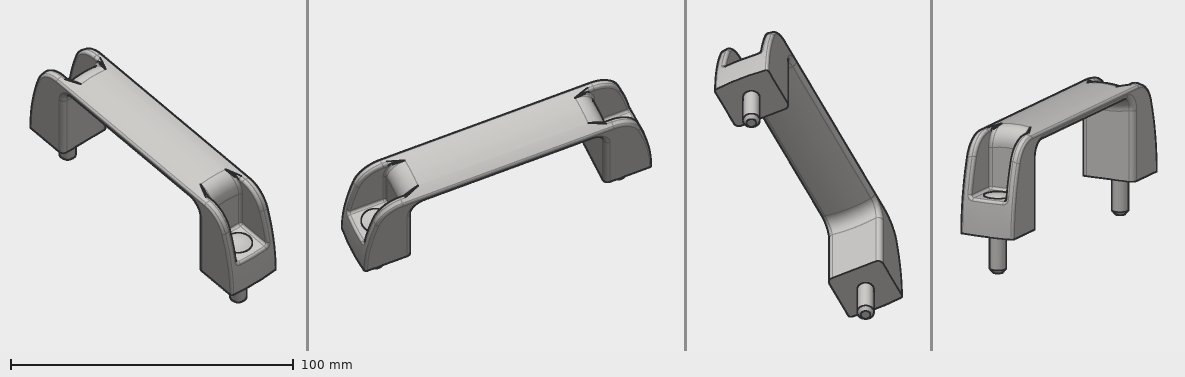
import cadquery as cq
import math

length = 112.0
width = 21.0
height = 36.0
half_length = length / 2
half_width = width / 2

bar_thickness = 5.95
crown_radius = 35.5
bar_under_z = height - bar_thickness
top_crown_axis_z = height - crown_radius
under_crown_axis_z = bar_under_z + crown_radius

leg_inner_x = 37.1
leg_face_radius = 85.0
outer_corner_radius = 11.0
inner_corner_radius = 5.0
outer_edge_fillet = 1.0
inner_edge_fillet = 2.0

pocket_half_width = 6.9
pocket_floor_z = 13.2
pocket_end_x = 39.8
pocket_lip_radius = 7.0
pocket_inner_fillet = 1.0
pocket_rim_fillet = 1.1

rim_split_x = 38.7
lip_end_x = pocket_end_x - pocket_lip_radius
runout_end_y = 5.75
runout_end_radius = 0.1

screw_spacing = 93.5
screw_radius = 3.0
screw_length = 15.0
tip_length = 1.5
tip_radius = 1.7
head_radius = 5.0
head_rise = 1.0

reach = 2 * length

tolerance = 0.05


def block(x_min, x_max, y_size, z_min, z_max):
    """Block spanning the given X and Z limits, centred on Y."""
    size = (x_max - x_min, y_size, z_max - z_min)
    return cq.Workplane("XY", origin=(x_min, 0, z_min)).box(*size, centered=(False, True, False))


def crown_cylinder(axis_z):
    """Cylinder lying along X that crowns a face of the bar."""
    section = cq.Workplane("YZ", origin=(-reach / 2, 0, 0)).center(0, axis_z).circle(crown_radius)
    return section.extrude(reach)


def near(value, target):
    return abs(value - target) < tolerance


def at_x(bounds, x):
    """True for an edge lying in the plane at the given X."""
    return near(bounds.xmin, x) and near(bounds.xmax, x)


def at_side(bounds, y):
    """True for an edge lying in the plane at +y or -y."""
    return near(bounds.ymin, bounds.ymax) and near(abs(bounds.ymin), y)


def spans(bounds, half_span):
    """True for an edge crossing the width from -half_span to +half_span."""
    return near(bounds.ymin, -half_span) and near(bounds.ymax, half_span)


def fillet_where(body, radius, test):
    """Fillet every edge whose bounding box passes the test."""
    edges = [edge for edge in body.edges().vals() if test(edge.BoundingBox())]
    return body.newObject(edges).fillet(radius)


def make_blank():
    """The x < 0 half of the handle with sharp edges: crowned bar and one leg."""
    blank = block(-half_length, 0, width, 0, height)
    blank = blank.intersect(crown_cylinder(top_crown_axis_z))
    leg_face = cq.Workplane("XY", origin=(leg_face_radius - half_length, 0, 0)).sphere(leg_face_radius)
    blank = blank.intersect(leg_face)
    opening = block(-leg_inner_x, 0, width, 0, height).cut(crown_cylinder(under_crown_axis_z))
    return blank.cut(opening)


def round_corners(blank):
    """Round the two bends between bar and leg."""

    def outer_corner(bounds):
        return spans(bounds, half_width) and bounds.zmin > bar_under_z and bounds.xmax < -leg_inner_x

    def inner_corner(bounds):
        return spans(bounds, half_width) and bounds.zmax > tolerance and at_x(bounds, -leg_inner_x)

    blank = fillet_where(blank, outer_corner_radius, outer_corner)
    return fillet_where(blank, inner_corner_radius, inner_corner)


def round_sides(blank):
    """Round the long side edges; each fillet follows its whole tangent chain of edges."""
    crown_side_z = top_crown_axis_z + math.sqrt(crown_radius**2 - half_width**2)

    def inner_edge(bounds):
        return at_side(bounds, half_width) and at_x(bounds, -leg_inner_x)

    def outer_edge(bounds):
        return at_side(bounds, half_width) and near(bounds.zmin, crown_side_z)

    blank = fillet_where(blank, inner_edge_fillet, inner_edge)
    return fillet_where(blank, outer_edge_fillet, outer_edge)


def cut_pocket(body):
    """Cut the pocket, round its lip over onto the bar and fillet its inside corners."""
    body = body.cut(block(-reach, -pocket_end_x, 2 * pocket_half_width, pocket_floor_z, reach))

    def lip(bounds):
        at_end_wall = spans(bounds, pocket_half_width) and at_x(bounds, -pocket_end_x)
        return at_end_wall and bounds.zmin > bar_under_z

    def inside_corner(bounds):
        on_floor = near(bounds.zmin, pocket_floor_z) and near(bounds.zmax, pocket_floor_z)
        floor_edge = on_floor and near(bounds.xmax, -pocket_end_x)
        upright = at_side(bounds, pocket_half_width) and at_x(bounds, -pocket_end_x)
        return floor_edge or upright

    body = fillet_where(body, pocket_lip_radius, lip)
    return fillet_where(body, pocket_inner_fillet, inside_corner)


def rim_section(x, wall_y, radius):
    """Wire around what a fillet removes between a wall at wall_y and the top crown."""
    centre_reach = crown_radius - radius
    centre_y = wall_y + radius
    centre_z = top_crown_axis_z + math.sqrt(centre_reach**2 - centre_y**2)
    crown_angle = math.acos(centre_y / centre_reach)
    middle_angle = (math.pi + crown_angle) / 2

    def on_fillet(angle):
        return (centre_y + radius * math.cos(angle), centre_z + radius * math.sin(angle))

    crown_point = on_fillet(crown_angle)
    section = cq.Workplane("YZ", origin=(x, 0, 0)).moveTo(wall_y, centre_z)
    section = section.threePointArc(on_fillet(middle_angle), crown_point)
    return section.lineTo(crown_point[0], height).lineTo(wall_y, height).close().val()


def round_pocket_rim(body):
    """Fillet the rim along the leg, then let it run out where the walls meet the lip."""
    leg_end = body.intersect(block(-reach, -rim_split_x, reach, -reach, reach))
    bar_end = body.intersect(block(-rim_split_x, reach, reach, -reach, reach))

    def wall_top(bounds):
        on_top = at_side(bounds, pocket_half_width) and near(bounds.zmin, bounds.zmax)
        return on_top and near(bounds.xmax, -rim_split_x) and bounds.zmin > bar_under_z

    leg_end = fillet_where(leg_end, pocket_rim_fillet, wall_top)

    start = rim_section(-rim_split_x, pocket_half_width, pocket_rim_fillet)
    finish = rim_section(-lip_end_x, runout_end_y, runout_end_radius)
    runout = cq.Workplane(cq.Solid.makeLoft([start, finish], True))
    bar_end = bar_end.cut(runout).cut(runout.mirror("XZ"))
    return leg_end.union(bar_end)


def make_screw():
    """Screw along Z with a tapered tip and a domed head, seated at the pocket floor."""
    dome_radius = (head_radius**2 + head_rise**2) / (2 * head_rise)
    dome_top_z = pocket_floor_z + head_rise
    dome_middle_y = head_radius / 2
    dome_middle_z = dome_top_z - dome_radius + math.sqrt(dome_radius**2 - dome_middle_y**2)
    head_base_z = pocket_floor_z - head_rise
    profile = (
        cq.Workplane("XZ", origin=(-screw_spacing / 2, 0, 0))
        .moveTo(0, -screw_length)
        .lineTo(tip_radius, -screw_length)
        .lineTo(screw_radius, tip_length - screw_length)
        .lineTo(screw_radius, head_base_z)
        .lineTo(head_radius, head_base_z)
        .lineTo(head_radius, pocket_floor_z)
        .threePointArc((dome_middle_y, dome_middle_z), (0, dome_top_z))
        .close()
    )
    return profile.revolve(360, (0, 0, 0), (0, 1, 0))


def make_half():
    body = round_sides(round_corners(make_blank()))
    body = round_pocket_rim(cut_pocket(body))
    return body.union(make_screw())


half = make_half()
result = half.union(half.mirror("YZ")).clean()